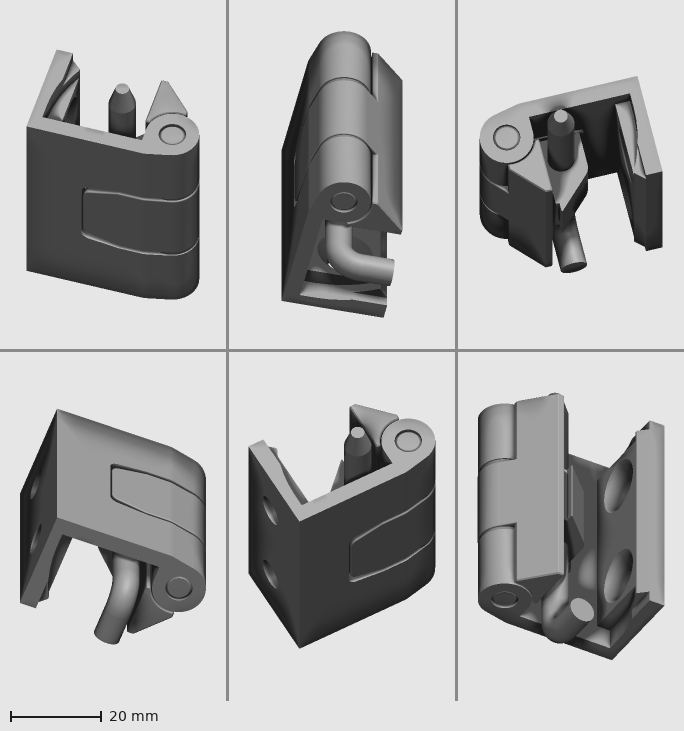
import cadquery as cq
import math

AXIS_X = 31.5
AXIS_Y = 7.1
HEIGHT = 50.0
HALF_HEIGHT = HEIGHT / 2
PIN_DIA = 6.0

PLATE_THICKNESS = 3.6
WALL_DEPTH = 23.0
WALL_THICKNESS = 5.95
WALL_END_THICKNESS = 3.8
WALL_BEVEL_Y = 21.1
FRAME_KNUCKLE_RADIUS = 5.95
FRAME_BEND_X = 27.1
BEND_RADIUS = 5.0
SWING_RADIUS = 28.9
SWING_CUT_DEPTH = 4.9
END_STEP_DEPTH = 2.45

SCREW_HOLE_DIA = 7.0
SCREW_HOLE_Y = 13.1
SCREW_SPACING = 25.0
COUNTERSINK_START = 3.15

WINDOW_LEFT = 12.6
WINDOW_LEFT_HALF = 8.55
WINDOW_SHOULDER_X = 21.3
WINDOW_HALF = 9.8
WINDOW_CORNER_RADIUS = 1.95

TAB_LEFT = 13.0
TAB_LEFT_HALF = 6.8
TAB_SHOULDER_X = 21.1
TAB_HALF = 8.9
TAB_CORNER_RADIUS = 1.95
LEAF_KNUCKLE_RADIUS = 6.0
LEAF_BEND_X = 26.95
EDGE_ROUND = 0.3

WEDGE_LEFT = 24.65
WEDGE_TOE_Y = 9.1
WEDGE_TIP_Y = 21.5
WEDGE_TIP_X = 26.2
WEDGE_RIGHT = 32.75
WEDGE_OVERLAP = 1.4
KNUCKLE_CLEARANCE = 0.3

BLOCK_LEFT = 14.15
BLOCK_HEIGHT = 14.0
BLOCK_TOP_Y = 20.5
BLOCK_TOP_RIGHT = 22.3
BLOCK_SLOPE_OFFSET = 1.55
BLOCK_CORNER_RADIUS = 3.5
BLOCK_STEP_X = 23.2
BLOCK_STEP_Y = 18.55
BLOCK_SLOT_Y = 16.0

WASHER_DIA = 11.3

HINGE_PIN_RECESS = 0.3
HINGE_PIN_CHAMFER = 0.55

BENT_PIN_X = 19.5
BENT_PIN_Y = 8.55
BENT_PIN_REACH = 10.0
NOSE_LENGTH = 5.0
NOSE_DIA = 3.0
PIN_BEND_RADIUS = 5.0
ARM_END_Y = 20.5


def polar(radius, angle):
    """Point on a circle about the hinge axis."""
    return AXIS_X + radius * math.cos(angle), AXIS_Y + radius * math.sin(angle)


def tangent_angle(point, radius, side):
    """Angle of the point where a line from `point` touches a circle about the hinge axis."""
    dx = point[0] - AXIS_X
    dy = point[1] - AXIS_Y
    return math.atan2(dy, dx) + side * math.acos(radius / math.hypot(dx, dy))


def vertical_rod(x, y, dia, bottom, top):
    return cq.Workplane("XY", origin=(x, y, bottom)).circle(dia / 2).extrude(top - bottom)


def slab(x0, x1, y0, y1, z0, z1):
    return cq.Workplane("XY").box(x1 - x0, y1 - y0, z1 - z0, centered=False).translate((x0, y0, z0))


def tapered_outline(left, left_half, shoulder_x, half, corner_radius, y_depth):
    """Prism along Y, narrow at the left with rounded corners, open-ended to the right."""
    right = 2 * AXIS_X
    prism = (
        cq.Workplane("XZ")
        .moveTo(left, -left_half)
        .lineTo(shoulder_x, -half)
        .lineTo(right, -half)
        .lineTo(right, half)
        .lineTo(shoulder_x, half)
        .lineTo(left, left_half)
        .close()
        .extrude(-y_depth)
    )
    return prism.edges("<X and |Y").fillet(corner_radius)


def bend_edge(body, bend_x):
    """Round the shallow corner where a front face turns towards its knuckle."""
    return body.edges(cq.selectors.NearestToPointSelector((bend_x, 0, 0))).fillet(BEND_RADIUS)


def frame_profile():
    bend = (FRAME_BEND_X, 0)
    start = tangent_angle(bend, FRAME_KNUCKLE_RADIUS, 1)
    end = math.pi
    body = (
        cq.Workplane("XY", origin=(0, 0, -HALF_HEIGHT))
        .moveTo(0, 0)
        .lineTo(*bend)
        .lineTo(*polar(FRAME_KNUCKLE_RADIUS, start))
        .threePointArc(
            polar(FRAME_KNUCKLE_RADIUS, (start + end) / 2),
            polar(FRAME_KNUCKLE_RADIUS, end),
        )
        .lineTo(AXIS_X - FRAME_KNUCKLE_RADIUS, PLATE_THICKNESS)
        .lineTo(WALL_THICKNESS, PLATE_THICKNESS)
        .lineTo(WALL_THICKNESS, WALL_BEVEL_Y)
        .lineTo(WALL_END_THICKNESS, WALL_DEPTH)
        .lineTo(0, WALL_DEPTH)
        .close()
        .extrude(HEIGHT)
    )
    return bend_edge(body, FRAME_BEND_X)


def wall_end_cut(bottom):
    """Swing clearance removed from the inner face of the wall, over one end."""
    top = bottom + SWING_CUT_DEPTH
    sweep = vertical_rod(AXIS_X, AXIS_Y, 2 * SWING_RADIUS, bottom, top)
    near_wall = slab(0, WALL_THICKNESS, AXIS_Y, WALL_DEPTH, bottom, top)
    straight = slab(AXIS_X - SWING_RADIUS, WALL_THICKNESS, PLATE_THICKNESS, AXIS_Y, bottom, top)
    return sweep.intersect(near_wall).union(straight)


def wall_end_step(bottom):
    return slab(
        WALL_END_THICKNESS, WALL_THICKNESS, PLATE_THICKNESS, WALL_DEPTH, bottom, bottom + END_STEP_DEPTH
    )


def screw_hole(z):
    """Through hole with a 90 degree countersink in the inner face of the wall."""
    radius = SCREW_HOLE_DIA / 2
    mouth_radius = radius + WALL_THICKNESS - COUNTERSINK_START
    half_section = (
        cq.Workplane("XY")
        .moveTo(0, 0)
        .lineTo(0, radius)
        .lineTo(COUNTERSINK_START, radius)
        .lineTo(WALL_THICKNESS, mouth_radius)
        .lineTo(WALL_THICKNESS, 0)
        .close()
    )
    return half_section.revolve(360, (0, 0, 0), (1, 0, 0)).translate((0, SCREW_HOLE_Y, z))


def make_frame():
    frame = frame_profile()
    frame = frame.cut(
        tapered_outline(
            WINDOW_LEFT, WINDOW_LEFT_HALF, WINDOW_SHOULDER_X, WINDOW_HALF, WINDOW_CORNER_RADIUS, WALL_DEPTH
        )
    )
    for bottom in (-HALF_HEIGHT, HALF_HEIGHT - SWING_CUT_DEPTH):
        frame = frame.cut(wall_end_cut(bottom))
    for bottom in (-HALF_HEIGHT, HALF_HEIGHT - END_STEP_DEPTH):
        frame = frame.cut(wall_end_step(bottom))
    for z in (-SCREW_SPACING / 2, SCREW_SPACING / 2):
        frame = frame.cut(screw_hole(z))
    return frame.cut(vertical_rod(AXIS_X, AXIS_Y, PIN_DIA, -HALF_HEIGHT, HALF_HEIGHT))


def slope_end_angle():
    """Angle at which the sloping face of the wedge runs tangent into the middle knuckle."""
    return tangent_angle((WEDGE_TIP_X, WEDGE_TIP_Y), LEAF_KNUCKLE_RADIUS, -1)


def wedge_slope_y(x):
    """Height in Y of the sloping face of the wedge."""
    end_x, end_y = polar(LEAF_KNUCKLE_RADIUS, slope_end_angle())
    gradient = (end_y - WEDGE_TIP_Y) / (end_x - WEDGE_TIP_X)
    return WEDGE_TIP_Y + gradient * (x - WEDGE_TIP_X)


def leaf_middle():
    """Tab and middle knuckle, reaching into the wedge to join it."""
    bend = (LEAF_BEND_X, 0)
    start = tangent_angle(bend, LEAF_KNUCKLE_RADIUS, 1)
    end = slope_end_angle()
    slope_x = WEDGE_RIGHT - WEDGE_OVERLAP
    middle = (
        cq.Workplane("XY", origin=(0, 0, -TAB_HALF))
        .moveTo(TAB_LEFT, 0)
        .lineTo(*bend)
        .lineTo(*polar(LEAF_KNUCKLE_RADIUS, start))
        .threePointArc(
            polar(LEAF_KNUCKLE_RADIUS, (start + end) / 2),
            polar(LEAF_KNUCKLE_RADIUS, end),
        )
        .lineTo(slope_x, wedge_slope_y(slope_x))
        .lineTo(WEDGE_LEFT, WEDGE_TOE_Y + WEDGE_OVERLAP)
        .lineTo(WEDGE_LEFT, PLATE_THICKNESS)
        .lineTo(TAB_LEFT, PLATE_THICKNESS)
        .close()
        .extrude(2 * TAB_HALF)
    )
    middle = bend_edge(middle, LEAF_BEND_X)
    outline = tapered_outline(
        TAB_LEFT, TAB_LEFT_HALF, TAB_SHOULDER_X, TAB_HALF, TAB_CORNER_RADIUS, WALL_DEPTH
    )
    middle = middle.intersect(outline)

    front_rim = cq.selectors.BoxSelector(
        (0, -0.7, -HALF_HEIGHT), (2 * AXIS_X, PLATE_THICKNESS / 4, HALF_HEIGHT)
    )
    knuckle_rim = cq.selectors.BoxSelector(
        (AXIS_X, 0, -HALF_HEIGHT), (2 * AXIS_X, AXIS_Y, HALF_HEIGHT)
    )
    rim = middle.edges("not |Z or <X").edges(front_rim + knuckle_rim)
    return rim.fillet(EDGE_ROUND)


def leaf_wedge():
    """Full-height wedge, hollowed to clear the frame knuckles."""
    wedge = (
        cq.Workplane("XY", origin=(0, 0, -HALF_HEIGHT))
        .moveTo(WEDGE_LEFT, WEDGE_TOE_Y)
        .lineTo(WEDGE_LEFT, WEDGE_TIP_Y)
        .lineTo(WEDGE_TIP_X, WEDGE_TIP_Y)
        .lineTo(WEDGE_RIGHT, wedge_slope_y(WEDGE_RIGHT))
        .lineTo(WEDGE_RIGHT, WEDGE_TOE_Y)
        .close()
        .extrude(HEIGHT)
    )
    clearance = 2 * (FRAME_KNUCKLE_RADIUS + KNUCKLE_CLEARANCE)
    wedge = wedge.cut(vertical_rod(AXIS_X, AXIS_Y, clearance, -HALF_HEIGHT, HALF_HEIGHT))
    wedge = wedge.edges("|Z").fillet(EDGE_ROUND)
    return wedge.faces("|Z").edges().chamfer(EDGE_ROUND)


def leaf_block():
    """Stepped block behind the tab that carries the bent pin."""
    block = (
        cq.Workplane("XY", origin=(0, 0, -BLOCK_HEIGHT / 2))
        .moveTo(BLOCK_LEFT, PLATE_THICKNESS)
        .lineTo(BLOCK_LEFT, BLOCK_LEFT - BLOCK_SLOPE_OFFSET)
        .lineTo(BLOCK_TOP_Y + BLOCK_SLOPE_OFFSET, BLOCK_TOP_Y)
        .lineTo(BLOCK_TOP_RIGHT, BLOCK_TOP_Y)
        .lineTo(BLOCK_TOP_RIGHT, BLOCK_STEP_Y)
        .lineTo(BLOCK_STEP_X, BLOCK_STEP_Y)
        .lineTo(BLOCK_STEP_X, BLOCK_SLOT_Y)
        .lineTo(WEDGE_LEFT, BLOCK_SLOT_Y)
        .lineTo(WEDGE_LEFT, PLATE_THICKNESS)
        .close()
        .extrude(BLOCK_HEIGHT)
    )
    corner = cq.selectors.NearestToPointSelector((BLOCK_LEFT, BLOCK_LEFT - BLOCK_SLOPE_OFFSET, 0))
    return block.edges(corner).fillet(BLOCK_CORNER_RADIUS)


def make_leaf():
    leaf = leaf_middle().union(leaf_wedge()).union(leaf_block())
    for x, y in ((AXIS_X, AXIS_Y), (BENT_PIN_X, BENT_PIN_Y)):
        leaf = leaf.cut(vertical_rod(x, y, PIN_DIA, -HALF_HEIGHT, HALF_HEIGHT))
    return leaf


def make_washer(bottom):
    top = bottom + WINDOW_HALF - TAB_HALF
    washer = vertical_rod(AXIS_X, AXIS_Y, WASHER_DIA, bottom, top)
    return washer.cut(vertical_rod(AXIS_X, AXIS_Y, PIN_DIA, bottom, top))


def make_hinge_pin():
    end = HALF_HEIGHT - HINGE_PIN_RECESS
    return vertical_rod(AXIS_X, AXIS_Y, PIN_DIA, -end, end).faces("|Z").chamfer(HINGE_PIN_CHAMFER)


def make_bent_pin():
    """Tapered rod whose lower end bends round into an arm along +Y."""
    radius = PIN_DIA / 2
    tip_z = HALF_HEIGHT + BENT_PIN_REACH
    nose_z = tip_z - NOSE_LENGTH
    arm_z = -tip_z + radius
    bend_z = arm_z + PIN_BEND_RADIUS
    bend_y = BENT_PIN_Y + PIN_BEND_RADIUS

    shank = vertical_rod(BENT_PIN_X, BENT_PIN_Y, PIN_DIA, bend_z, nose_z)
    nose = (
        cq.Workplane("XY", origin=(BENT_PIN_X, BENT_PIN_Y, nose_z))
        .circle(radius)
        .workplane(offset=NOSE_LENGTH)
        .circle(NOSE_DIA / 2)
        .loft()
    )
    bend = (
        cq.Workplane("XY", origin=(BENT_PIN_X, BENT_PIN_Y, bend_z))
        .circle(radius)
        .revolve(90, (0, PIN_BEND_RADIUS, 0), (1, PIN_BEND_RADIUS, 0))
    )
    arm = (
        cq.Workplane("XZ", origin=(BENT_PIN_X, bend_y, arm_z))
        .circle(radius)
        .extrude(bend_y - ARM_END_Y)
    )
    return shank.union(nose).union(bend).union(arm)


frame = make_frame()
leaf = make_leaf()
washers = [make_washer(bottom) for bottom in (-WINDOW_HALF, TAB_HALF)]
hinge_pin = make_hinge_pin()
bent_pin = make_bent_pin()

result = cq.Compound.makeCompound(
    [frame.val(), leaf.val(), *[washer.val() for washer in washers], hinge_pin.val(), bent_pin.val()]
)